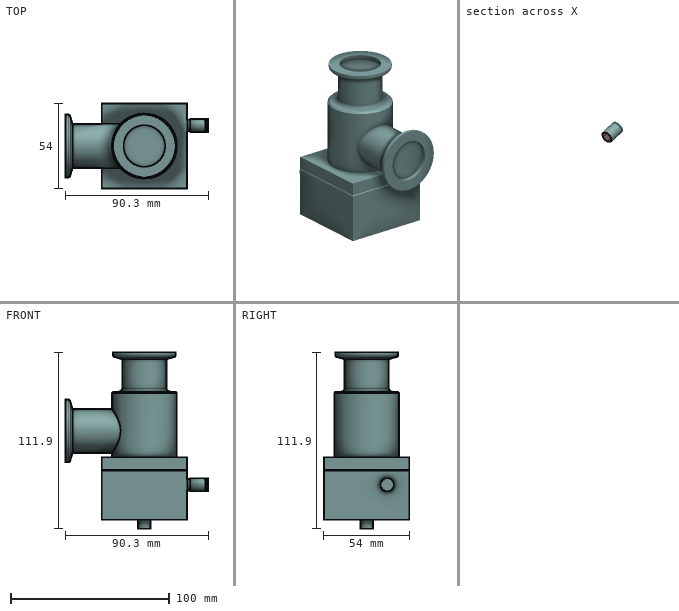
import cadquery as cq

overall_height = 111.9
overall_length = 90.3

housing_side = 54.0
pin_diameter = 8.1
pin_length = 5.8
housing_height = 31.5
housing_chamfer = 0.7
cover_height = 8.1
cover_bottom = pin_length + housing_height
cover_top = cover_bottom + cover_height

body_diameter = 41.2
body_height = 41.5
body_chamfer = 1.0
body_top = cover_top + body_height

tube_diameter = 28.1
tube_root_fillet = 2.1
side_port_reach = 50.0
side_port_height = 62.0
flange_diameter = 40.0
flange_rim_width = 1.8
flange_corner_radius = 1.6
flange_thickness = 4.6
flange_shoulder_depth = 3.2
bore_diameter = 26.3
bore_depth = 3.0

fitting_y = 13.0
fitting_z = 28.0
fitting_diameter = 8.5
neck_diameter = 7.4
fitting_groove_diameter = 5.7
sleeve_length = 9.5
fitting_groove_length = 1.0
collar_length = 0.8
fitting_reach = overall_length - side_port_reach - housing_side / 2
neck_length = fitting_reach - sleeve_length - fitting_groove_length - collar_length


def cylinder(diameter, height, base_z):
    return cq.Workplane("XY").workplane(offset=base_z).circle(diameter / 2).extrude(height)


def square_slab(side, height, base_z):
    return cq.Workplane("XY").box(side, side, height, centered=(True, True, False)).translate((0, 0, base_z))


def flanged_port(reach):
    """Tube along +Z from the origin, ending in a clamp flange whose face is at Z = reach."""
    tube_radius = tube_diameter / 2
    flange_radius = flange_diameter / 2
    rim_z = reach - flange_rim_width
    shoulder_radius = flange_radius - flange_corner_radius
    shoulder_z = reach - flange_shoulder_depth
    profile = (
        cq.Workplane("XZ")
        .lineTo(tube_radius, 0)
        .lineTo(tube_radius, reach - flange_thickness)
        .lineTo(shoulder_radius, shoulder_z)
        .radiusArc((flange_radius, rim_z), -flange_corner_radius)
        .lineTo(flange_radius, reach)
        .lineTo(0, reach)
        .close()
    )
    return profile.revolve(360, (0, 0, 0), (0, 1, 0))


def bore(reach):
    """Blind recess in the face of a flanged port."""
    return cylinder(bore_diameter, bore_depth, reach - bore_depth)


def to_side_port(shape):
    """Turn a shape built along +Z so that it points along -X at the side port height."""
    return shape.rotate((0, 0, 0), (0, 1, 0), -90).translate((0, 0, side_port_height))


def make_housing():
    pin = cylinder(pin_diameter, pin_length, 0)
    block = square_slab(housing_side, housing_height, pin_length).faces(">Z").chamfer(housing_chamfer)
    cover = square_slab(housing_side, cover_height, cover_bottom)
    return block.union(cover).union(pin)


def make_body():
    return cylinder(body_diameter, body_height, cover_top).faces(">Z").chamfer(body_chamfer)


def make_top_port_root():
    """Ring with a concave fillet where the top tube meets the body."""
    tube_radius = tube_diameter / 2
    root_radius = tube_radius + tube_root_fillet
    profile = (
        cq.Workplane("XZ")
        .moveTo(0, body_top)
        .lineTo(root_radius, body_top)
        .radiusArc((tube_radius, body_top + tube_root_fillet), tube_root_fillet)
        .lineTo(0, body_top + tube_root_fillet)
        .close()
    )
    return profile.revolve(360, (0, 0, 0), (0, 1, 0))


def make_hose_fitting():
    steps = [
        (neck_diameter, neck_length),
        (fitting_diameter, sleeve_length),
        (fitting_groove_diameter, fitting_groove_length),
        (fitting_diameter, collar_length),
    ]
    fitting = cq.Workplane("YZ")
    start_x = housing_side / 2
    for diameter, length in steps:
        step = cq.Workplane("YZ", origin=(start_x, fitting_y, fitting_z)).circle(diameter / 2).extrude(length)
        fitting = fitting.add(step)
        start_x += length
    return fitting.combine()


result = (
    make_housing()
    .union(make_body())
    .union(make_top_port_root())
    .union(flanged_port(overall_height - cover_top).translate((0, 0, cover_top)))
    .union(to_side_port(flanged_port(side_port_reach)))
    .union(make_hose_fitting())
    .cut(bore(overall_height))
    .cut(to_side_port(bore(side_port_reach)))
)